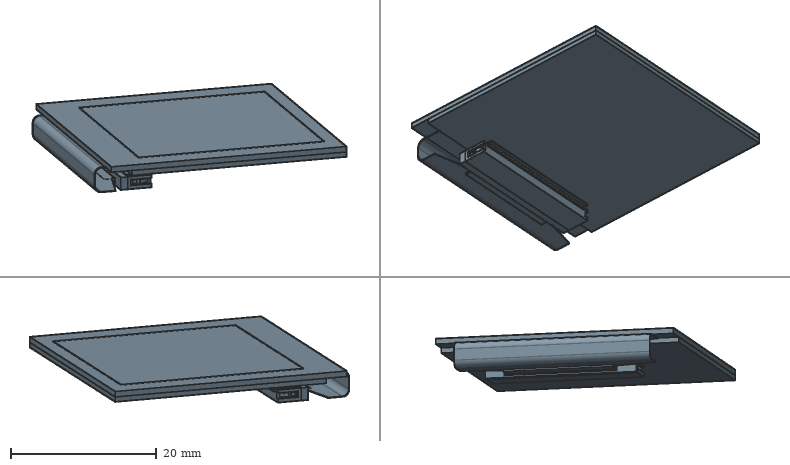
import cadquery as cq
import math


panel_width = 33.8
cover_length = 34.0
cover_thickness = 0.78
back_y = 17.75

active_size = 26.8
active_depth = 0.1
active_back_margin = 2.13

lower_thickness = 0.7
lower_length = 30.95

flex_width = 27.83
flex_thickness = 0.1
flex_front_y = -17.75
bend_radius = 1.03
bend_height = 3.62
taper_start_y = -14.65
taper_end_y = -13.28
tab_width = 15.62
tab_end_y = -11.0
stiffener_thickness = 0.3
stiffener_front_y = -14.35

connector_width = 21.45
connector_below_tab = 0.85
connector_height = 1.8
slider_front_y = -12.9
slider_back_y = -11.9
housing_back_y = -8.45

slot_side_chamfer = 0.18
lead_in_height = 0.3
lead_in_depth = 0.5

cap_width = 19.88
cap_thickness = 0.15
cap_back_y = -7.7
lip_back_y = -8.15
lip_bottom_z = -1.28

pocket_depth = 0.43
pocket_front_y = -11.43
pocket_bottom_z = -2.13
pocket_top_z = -1.28
spring_margin = 0.125
rear_spring_ys = (-8.88, -9.35, -10.05)
rear_spring_angles = (28, 12)
front_spring_ys = (-10.5, -11.08, -11.32)
front_spring_height = 0.2
front_spring_angle = 25

cover_bottom_z = bend_height / 2
cover_top_z = cover_bottom_z + cover_thickness
lower_front_y = back_y - lower_length
tab_bottom_z = -bend_height / 2
tab_top_z = tab_bottom_z + flex_thickness
stiffener_bottom_z = tab_bottom_z - stiffener_thickness
connector_bottom_z = tab_bottom_z - connector_below_tab
connector_top_z = connector_bottom_z + connector_height


def block(width, y_range, z_range):
    """Box centred on X between two Y and two Z positions."""
    y_start, y_end = y_range
    z_start, z_end = z_range
    return cq.Workplane("XY").box(
        width, y_end - y_start, z_end - z_start, centered=(True, False, False)
    ).translate((0, y_start, z_start))


def make_active_area():
    active_back_y = back_y - active_back_margin
    return block(
        active_size,
        (active_back_y - active_size, active_back_y),
        (cover_top_z - active_depth, cover_top_z),
    )


def make_cover():
    plate = block(panel_width, (back_y - cover_length, back_y), (cover_bottom_z, cover_top_z))
    return plate.cut(make_active_area())


def make_lower_panel():
    return block(
        panel_width, (lower_front_y, back_y), (cover_bottom_z - lower_thickness, cover_bottom_z)
    )


def bend_block(inset):
    """Solid bounded by a U shape, lying inside the outer face of the flex by `inset`."""
    radius = bend_radius - inset
    front_y = flex_front_y + inset
    tangent_y = flex_front_y + bend_radius
    half_height = bend_height / 2 - inset
    straight_half = bend_height / 2 - bend_radius
    arc_offset = radius * math.sqrt(0.5)
    return (
        cq.Workplane("YZ")
        .moveTo(lower_front_y, half_height)
        .lineTo(tangent_y, half_height)
        .threePointArc((tangent_y - arc_offset, straight_half + arc_offset), (front_y, straight_half))
        .lineTo(front_y, -straight_half)
        .threePointArc((tangent_y - arc_offset, -straight_half - arc_offset), (tangent_y, -half_height))
        .lineTo(lower_front_y, -half_height)
        .close()
        .extrude(flex_width / 2, both=True)
    )


def make_tab_space():
    """The tab with its stiffener, also used to cut the slot that holds it."""
    return block(tab_width, (stiffener_front_y, tab_end_y), (stiffener_bottom_z, tab_top_z))


def make_flex():
    loop = bend_block(0).cut(bend_block(flex_thickness))
    beyond_taper = block(flex_width, (taper_start_y, lower_front_y), (tab_bottom_z, tab_top_z))
    taper = (
        cq.Workplane("XY", origin=(0, 0, tab_bottom_z))
        .polyline([
            (-flex_width / 2, taper_start_y),
            (flex_width / 2, taper_start_y),
            (tab_width / 2, taper_end_y),
            (-tab_width / 2, taper_end_y),
        ])
        .close()
        .extrude(flex_thickness)
    )
    return loop.cut(beyond_taper).union(taper).union(make_tab_space())


def make_lead_in():
    """Mouth of the slider slot, with beveled sides and a ramp at its floor."""
    half_tab = tab_width / 2
    half_mouth = half_tab + slot_side_chamfer
    bevel_end_y = slider_front_y + slot_side_chamfer
    ramp_end_y = slider_front_y + lead_in_depth
    plan = (
        cq.Workplane("XY", origin=(0, 0, connector_bottom_z))
        .polyline([
            (-half_mouth, slider_front_y),
            (half_mouth, slider_front_y),
            (half_tab, bevel_end_y),
            (half_tab, ramp_end_y),
            (-half_tab, ramp_end_y),
            (-half_tab, bevel_end_y),
        ])
        .close()
        .extrude(connector_height)
    )
    side = (
        cq.Workplane("YZ")
        .polyline([
            (slider_front_y, stiffener_bottom_z - lead_in_height),
            (slider_front_y, tab_top_z),
            (ramp_end_y, tab_top_z),
            (ramp_end_y, stiffener_bottom_z),
        ])
        .close()
        .extrude(half_mouth, both=True)
    )
    return plan.intersect(side)


def make_slider():
    body = block(
        connector_width, (slider_front_y, slider_back_y), (connector_bottom_z, connector_top_z)
    )
    return body.cut(make_tab_space()).cut(make_lead_in())


def make_spring(profile):
    """Spring on the -X pocket floor; `profile` lists (height above the floor, Y) points."""
    floor_x = -connector_width / 2 + pocket_depth
    return (
        cq.Workplane("XY", origin=(0, 0, pocket_bottom_z + spring_margin))
        .polyline([(floor_x - height, y) for height, y in profile])
        .close()
        .extrude(pocket_top_z - pocket_bottom_z - 2 * spring_margin)
    )


def make_springs():
    start_y, bend_y, end_y = rear_spring_ys
    steep, shallow = (math.tan(math.radians(angle)) for angle in rear_spring_angles)
    bend_rise = (start_y - bend_y) * steep
    end_rise = bend_rise + (bend_y - end_y) * shallow
    rear = make_spring([(0, start_y), (bend_rise, bend_y), (end_rise, end_y), (0, end_y)])

    start_y, bend_y, end_y = front_spring_ys
    fall = (bend_y - end_y) * math.tan(math.radians(front_spring_angle))
    front = make_spring([
        (0, start_y),
        (front_spring_height, start_y),
        (front_spring_height, bend_y),
        (front_spring_height - fall, end_y),
        (0, end_y),
    ])
    return rear, front


def make_housing():
    cap_top_z = connector_top_z + cap_thickness
    body = block(
        connector_width, (slider_back_y, housing_back_y), (connector_bottom_z, connector_top_z)
    )
    cap = block(cap_width, (slider_back_y, cap_back_y), (connector_top_z, cap_top_z))
    lip = block(cap_width, (housing_back_y, lip_back_y), (lip_bottom_z, cap_top_z))
    body = body.union(cap).union(lip).cut(make_tab_space())

    pockets = block(
        connector_width, (pocket_front_y, housing_back_y), (pocket_bottom_z, pocket_top_z)
    ).cut(
        block(
            connector_width - 2 * pocket_depth,
            (pocket_front_y, housing_back_y),
            (pocket_bottom_z, pocket_top_z),
        )
    )
    body = body.cut(pockets)
    for spring in make_springs():
        body = body.union(spring).union(spring.mirror("YZ"))
    return body


cover = make_cover()
active_area = make_active_area()
lower_panel = make_lower_panel()
flex = make_flex()
slider = make_slider()
housing = make_housing()

result = cq.Compound.makeCompound([
    cover.val(),
    active_area.val(),
    lower_panel.val(),
    flex.val(),
    slider.val(),
    housing.val(),
])